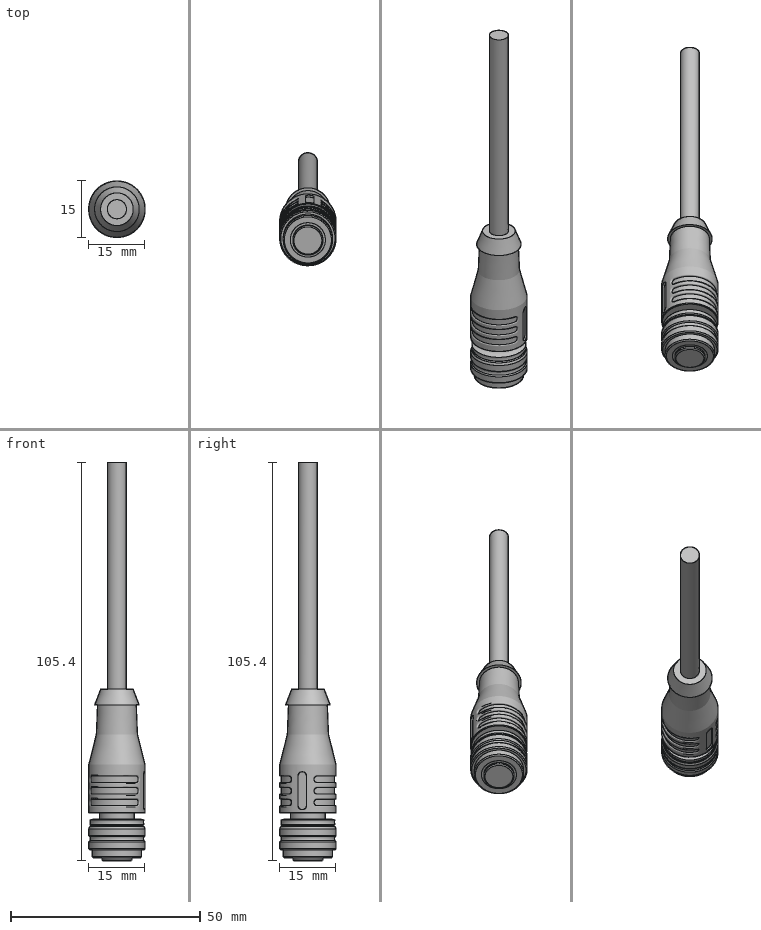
import cadquery as cq
import math

total_height = 105.4
grip_bottom = 12.6
grip_top = 45.4
nut_bottom = 0.8
nut_top = 11.2

key_turn = -102.0

cable_radius = 2.5
cable_insertion = 10.5

body_radius = 7.5
shoulder_z = 25.4
waist_z = 33.4
waist_radius = 5.5
collar_z = 41.3
under_collar_radius = 5.2
collar_radius = 5.9
grip_top_radius = 4.3
grip_bottom_chamfer = 0.2

stem_radius = 4.6
tip_radius = 4.0
tip_chamfer = 0.3

slot_count = 3
slot_pitch = 3.1
lowest_slot_z = 15.5
slot_depth = 0.4
slot_half_width = 0.8
slot_rim_round = 0.3
slot_end_angle = 58.0
cutter_overshoot = 1.1
rim_tolerance = 0.001

thumb_width = 2.3
thumb_bottom = 13.6
thumb_top = 23.6
thumb_floor = 7.0

band_radius = 7.2
nut_top_radius = 5.9
spigot_radius = 6.5
edge_chamfer = 0.3
ring_height = 2.1
upper_ring_bottom = 6.4
lower_ring_bottom = 3.0
upper_ring_bevel = 0.6
groove_depth = 0.3
groove_width = 0.5
band_hollow = 0.1


def keyed(body):
    """Turn a body from its own frame to the keyed position."""
    return body.rotate((0, 0, 0), (0, 0, 1), key_turn)


def make_cable():
    """A round cable whose lower end sits in the top of the grip."""
    start = grip_top - cable_insertion
    return cq.Workplane("XY").workplane(offset=start).circle(cable_radius).extrude(total_height - start)


def finger_slot_cutter(z):
    """A band swept around the +X side and rounded off at each end by a radial cylinder."""
    floor = body_radius - slot_depth
    outside = body_radius + cutter_overshoot
    mid_radius = (floor + outside) / 2
    sweep = (
        cq.Workplane("XZ", origin=(mid_radius, 0, z))
        .rect(outside - floor, 2 * slot_half_width)
        .revolve(2 * slot_end_angle, (-mid_radius, 0), (-mid_radius, 1))
        .rotate((0, 0, 0), (0, 0, 1), -slot_end_angle)
    )
    core = cq.Workplane("XY").circle(floor).extrude(total_height)
    round_end = cq.Workplane("YZ", origin=(0, 0, z)).circle(slot_half_width).extrude(outside).cut(core)
    for end_angle in (-slot_end_angle, slot_end_angle):
        sweep = sweep.union(round_end.rotate((0, 0, 0), (0, 0, 1), end_angle))
    return sweep


def is_slot_rim(edge):
    """True for the curved edges around the mouths of the finger slots."""
    middle = edge.positionAt(0.5)
    on_surface = abs(math.hypot(middle.x, middle.y) - body_radius) < rim_tolerance
    rim_reach = slot_half_width + rim_tolerance
    highest_slot_z = lowest_slot_z + (slot_count - 1) * slot_pitch
    among_slots = lowest_slot_z - rim_reach < middle.z < highest_slot_z + rim_reach
    return edge.geomType() != "LINE" and on_surface and among_slots


def thumb_slot_cutter():
    """An upright round-ended slot that cuts into the +Y side."""
    return (
        cq.Workplane("XZ", origin=(0, thumb_floor, (thumb_bottom + thumb_top) / 2))
        .slot2D(thumb_top - thumb_bottom, thumb_width, 90)
        .extrude(-(body_radius + cutter_overshoot - thumb_floor))
    )


def make_grip():
    """A bottle-shaped grip in one piece with the stem and the socket tip below it."""
    outline = cq.Workplane("XZ").polyline(
        [
            (0, 0),
            (tip_radius - tip_chamfer, 0),
            (tip_radius, tip_chamfer),
            (tip_radius, nut_bottom),
            (stem_radius, nut_bottom),
            (stem_radius, grip_bottom),
            (body_radius - grip_bottom_chamfer, grip_bottom),
            (body_radius, grip_bottom + grip_bottom_chamfer),
            (body_radius, shoulder_z),
            (waist_radius, waist_z),
            (under_collar_radius, collar_z),
            (collar_radius, collar_z),
            (grip_top_radius, grip_top),
            (0, grip_top),
        ]
    )
    grip = outline.close().revolve(360, (0, 0), (0, 1))
    for side in (0, 180):
        for row in range(slot_count):
            cutter = finger_slot_cutter(lowest_slot_z + row * slot_pitch)
            grip = grip.cut(cutter.rotate((0, 0, 0), (0, 0, 1), side))
    rims = [edge for edge in grip.edges().vals() if is_slot_rim(edge)]
    grip = grip.newObject(rims).fillet(slot_rim_round)
    for side in (0, 180):
        grip = grip.cut(thumb_slot_cutter().rotate((0, 0, 0), (0, 0, 1), side))
    return grip.cut(make_cable())


def make_nut():
    """A sleeve with two raised rings, a hollowed band above each and a V groove over the upper ring."""
    upper_ring_top = upper_ring_bottom + ring_height
    lower_ring_top = lower_ring_bottom + ring_height
    lower_band_bottom = lower_ring_top + edge_chamfer
    bevel_top = upper_ring_top + upper_ring_bevel
    upper_band_bottom = bevel_top + groove_width
    upper_band_top = nut_top - edge_chamfer
    hollow_radius = band_radius - band_hollow
    outline = (
        cq.Workplane("XZ")
        .moveTo(stem_radius, nut_bottom)
        .lineTo(spigot_radius - edge_chamfer, nut_bottom)
        .lineTo(spigot_radius, nut_bottom + edge_chamfer)
        .lineTo(spigot_radius, lower_ring_bottom)
        .lineTo(band_radius, lower_ring_bottom)
        .lineTo(body_radius, lower_ring_bottom + edge_chamfer)
        .lineTo(body_radius, lower_ring_top)
        .lineTo(band_radius, lower_band_bottom)
        .threePointArc(
            (hollow_radius, (lower_band_bottom + upper_ring_bottom) / 2),
            (band_radius, upper_ring_bottom),
        )
        .lineTo(body_radius, upper_ring_bottom + edge_chamfer)
        .lineTo(body_radius, upper_ring_top)
        .lineTo(band_radius, bevel_top)
        .lineTo(band_radius - groove_depth, bevel_top + groove_width / 2)
        .lineTo(band_radius, upper_band_bottom)
        .threePointArc(
            (hollow_radius, (upper_band_bottom + upper_band_top) / 2),
            (band_radius, upper_band_top),
        )
        .lineTo(nut_top_radius, nut_top)
        .lineTo(stem_radius, nut_top)
        .close()
    )
    return outline.revolve(360, (0, 0), (0, 1))


cable = keyed(make_cable())
grip = keyed(make_grip())
nut = keyed(make_nut())

result = cq.Compound.makeCompound([cable.val(), grip.val(), nut.val()])